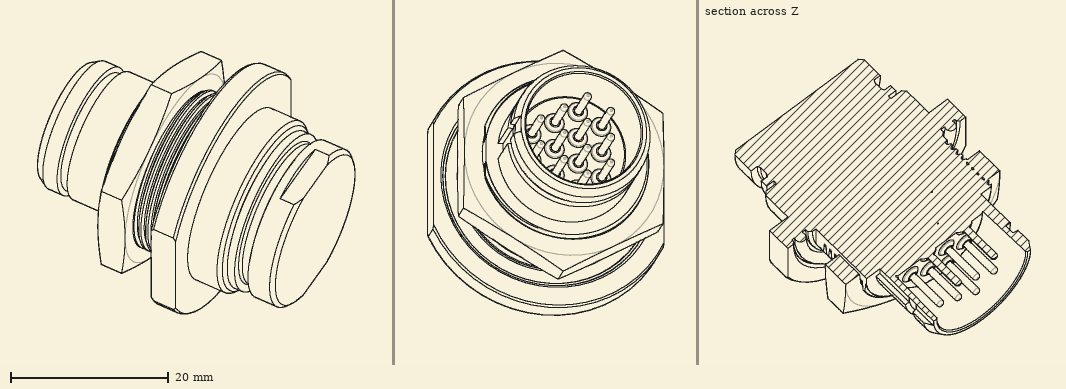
import cadquery as cq
import math

length = 35.9

nose_radius = 8.9
nose_tip_radius = 8.2
nose_bevel_length = 1.2
nose_groove_start = 3.25
nose_groove_bevel = 0.15
nose_groove_end = 4.75
nose_groove_radius = nose_tip_radius
keyway_width = 2.1

bore_mouth_radius = 7.7
bore_mouth_bevel = 0.18
bore_floor_radius = 7.32
insert_edge_bevel = 0.2
insert_face = 8.1

pin_pitch = 3.5
pin_radius = 0.5
pin_tip = 2.0
pin_tip_rounding = 0.35
pin_collar_base_radius = 1.15
pin_collar_foot = 0.15
pin_collar_top_radius = 0.7
pin_collar_height = 0.43

thread_start = 10.4
thread_end = 19.17
thread_radius = 11.0
thread_root_radius = 10.52
thread_pitch = 1.0
thread_start_bevel = 0.4
groove_root_width = 0.25
groove_mouth_width = 0.7
groove_crossing = 10.75
barrel_flat = 10.4

nut_start = 11.5
nut_end = 15.47
nut_across_flats = 26.0
nut_bore_radius = 10.65
nut_bevel_length = 0.5

flange_start = 20.4
flange_end = 23.98
flange_radius = 16.7
flange_across_flats = 30.0
flange_bevel_length = 0.35
flange_bevel_drop = 0.2
seal_centre_radius = 12.67
seal_section_radius = 0.75
seal_protrusion = 0.5
lip_start = 20.25
lip_bevel_length = 0.35
seal_groove_inner_radius = 11.45
seal_groove_radius = 13.7
seal_groove_bevel = 0.35
seal_groove_floor = 21.05

shoulder_radius = 11.92
shoulder_end = 28.75
shoulder_bevel = 0.5
neck_radius = 9.7
rib_start = 29.2
rib_end = 30.25
rib_radius = 10.9
neck_flare_width = 0.43
neck_flare_height = 0.18
head_start = 32.2
head_radius = 10.9
head_bevel = 0.55
head_flat_start = 33.35
head_flat_height = 9.9

margin = 0.35


def revolve_profile(points):
    """Revolve a closed outline of (x, radius) points about the X axis."""
    return cq.Workplane("XY").polyline(points).close().revolve(360, (0, 0, 0), (1, 0, 0))


def box_between(x_start, x_end, y_start, y_end, z_start, z_end):
    size = (x_end - x_start, y_end - y_start, z_end - z_start)
    return cq.Workplane("XY").box(*size, centered=False).translate((x_start, y_start, z_start))


def make_nose():
    """Hollow nose with its outer groove, bevelled tip and keyway on the +Y side."""
    nose = revolve_profile([
        (0, bore_mouth_radius),
        (0, nose_tip_radius),
        (nose_bevel_length, nose_radius),
        (nose_groove_start, nose_radius),
        (nose_groove_start + nose_groove_bevel, nose_groove_radius),
        (nose_groove_end, nose_groove_radius),
        (nose_groove_end, nose_radius),
        (thread_start, nose_radius),
        (thread_start, 0),
        (insert_face, 0),
        (insert_face, bore_floor_radius - insert_edge_bevel),
        (insert_face + insert_edge_bevel, bore_floor_radius),
        (bore_mouth_bevel, bore_mouth_radius - bore_mouth_bevel),
    ])
    keyway = box_between(
        -margin, thread_start,
        nose_groove_radius, nose_radius + margin,
        -keyway_width / 2, keyway_width / 2,
    )
    return nose.cut(keyway)


def make_pin(y, z):
    """Round-tipped contact pin rising from a conical collar on the insert face."""
    pin = (
        cq.Workplane("YZ").workplane(offset=pin_tip)
        .circle(pin_radius).extrude(insert_face - pin_tip)
        .faces("<X").edges().fillet(pin_tip_rounding)
    )
    foot_radius = pin_collar_base_radius + pin_collar_foot
    collar = revolve_profile([
        (insert_face - pin_collar_height, 0),
        (insert_face - pin_collar_height, pin_collar_top_radius),
        (insert_face - pin_collar_foot, pin_collar_base_radius),
        (insert_face, foot_radius),
        (insert_face + margin, foot_radius),
        (insert_face + margin, 0),
    ])
    return pin.union(collar).translate((0, y, z))


def pin_positions():
    """Three pins about the axis, ringed by nine more on the same triangular grid."""
    column_step = pin_pitch * math.sqrt(3) / 2
    first_column = pin_pitch / math.sqrt(3)
    column_rows = {-1: (-0.5, 0.5), 0: (-1, 0, 1), 1: (-1.5, -0.5, 0.5, 1.5), 2: (-1, 0, 1)}
    return [
        (first_column - column * column_step, row * pin_pitch)
        for column, rows in column_rows.items()
        for row in rows
    ]


def make_barrel():
    """Barrel with a right-hand helical thread and a flat along its +Y side."""
    barrel = (
        cq.Workplane("YZ").workplane(offset=thread_start)
        .circle(thread_radius).extrude(flange_start - thread_start)
    )
    lead_in_turns = 1.5
    lead_in = groove_crossing - lead_in_turns * thread_pitch
    helix = cq.Wire.makeHelix(thread_pitch, thread_end - lead_in, thread_root_radius)
    overshoot = 0.1
    depth = thread_radius - thread_root_radius
    widening = (groove_mouth_width - groove_root_width) / depth
    outer_half = (groove_mouth_width + widening * overshoot) / 2
    root_half = groove_root_width / 2
    outer_radius = thread_radius + overshoot
    groove = (
        cq.Workplane("XZ")
        .polyline([
            (thread_root_radius, -root_half),
            (outer_radius, -outer_half),
            (outer_radius, outer_half),
            (thread_root_radius, root_half),
        ])
        .close()
        .sweep(cq.Workplane(obj=helix), isFrenet=True)
        .rotate((0, 0, 0), (0, 1, 0), 90)
        .translate((lead_in, 0, 0))
    )
    bevelled_envelope = revolve_profile([
        (thread_start, 0),
        (thread_start, thread_radius - thread_start_bevel),
        (thread_start + thread_start_bevel, thread_radius),
        (flange_start, thread_radius),
        (flange_start, 0),
    ])
    flat = box_between(
        thread_start, flange_start,
        barrel_flat, thread_radius + margin,
        -thread_radius, thread_radius,
    )
    return barrel.cut(groove).intersect(bevelled_envelope).cut(flat)


def make_nut():
    """Hexagonal nut with corners on +Z and -Z, bevelled conically at both faces."""
    corner_radius = nut_across_flats / math.sqrt(3)
    flat_radius = nut_across_flats / 2
    hexagon = (
        cq.Workplane("YZ").workplane(offset=nut_start)
        .polygon(6, 2 * corner_radius).circle(nut_bore_radius)
        .extrude(nut_end - nut_start)
        .rotate((0, 0, 0), (1, 0, 0), 90)
    )
    bevels = revolve_profile([
        (nut_start, 0),
        (nut_start, flat_radius),
        (nut_start + nut_bevel_length, corner_radius),
        (nut_end - nut_bevel_length, corner_radius),
        (nut_end, flat_radius),
        (nut_end, 0),
    ])
    return hexagon.intersect(bevels)


def make_flange():
    """Flange with two flats and a seal ring seated in a groove in its front face."""
    rim_radius = flange_radius - flange_bevel_drop
    flange = revolve_profile([
        (lip_start, 0),
        (lip_start, thread_radius),
        (lip_start + lip_bevel_length, seal_groove_inner_radius),
        (seal_groove_floor, seal_groove_inner_radius),
        (seal_groove_floor, seal_groove_radius),
        (flange_start + seal_groove_bevel, seal_groove_radius),
        (flange_start, seal_groove_radius + seal_groove_bevel),
        (flange_start, rim_radius),
        (flange_start + flange_bevel_length, flange_radius),
        (flange_end - flange_bevel_length, flange_radius),
        (flange_end, rim_radius),
        (flange_end, 0),
    ])
    between_flats = box_between(
        lip_start, flange_end,
        -flange_across_flats / 2, flange_across_flats / 2,
        -flange_radius, flange_radius,
    )
    seal_centre = flange_start - seal_protrusion + seal_section_radius
    seal = (
        cq.Workplane("XY").center(seal_centre, seal_centre_radius)
        .circle(seal_section_radius)
        .revolve(360, (0, -seal_centre_radius, 0), (1, -seal_centre_radius, 0))
    )
    return flange.intersect(between_flats).union(seal)


def make_rear_body():
    """Shoulder, ribbed neck and bevelled head with a flat on +Z and on -Z."""
    flare_radius = neck_radius + neck_flare_height
    body = revolve_profile([
        (flange_end - margin, 0),
        (flange_end - margin, shoulder_radius),
        (shoulder_end - shoulder_bevel, shoulder_radius),
        (shoulder_end, shoulder_radius - shoulder_bevel),
        (shoulder_end, neck_radius),
        (rib_start, neck_radius),
        (rib_start, rib_radius),
        (rib_end, rib_radius),
        (rib_end, flare_radius),
        (rib_end + neck_flare_width, neck_radius),
        (head_start - neck_flare_width, neck_radius),
        (head_start, flare_radius),
        (head_start, head_radius),
        (length - head_bevel, head_radius),
        (length, head_radius - head_bevel),
        (length, 0),
    ])
    upper_flat = box_between(
        head_flat_start, length + margin,
        -head_radius, head_radius,
        head_flat_height, head_radius + margin,
    )
    return body.cut(upper_flat).cut(upper_flat.mirror("XY"))


result = make_nose().union(make_barrel()).union(make_flange()).union(make_rear_body())
result = result.union(make_nut())
for pin_y, pin_z in pin_positions():
    result = result.union(make_pin(pin_y, pin_z))